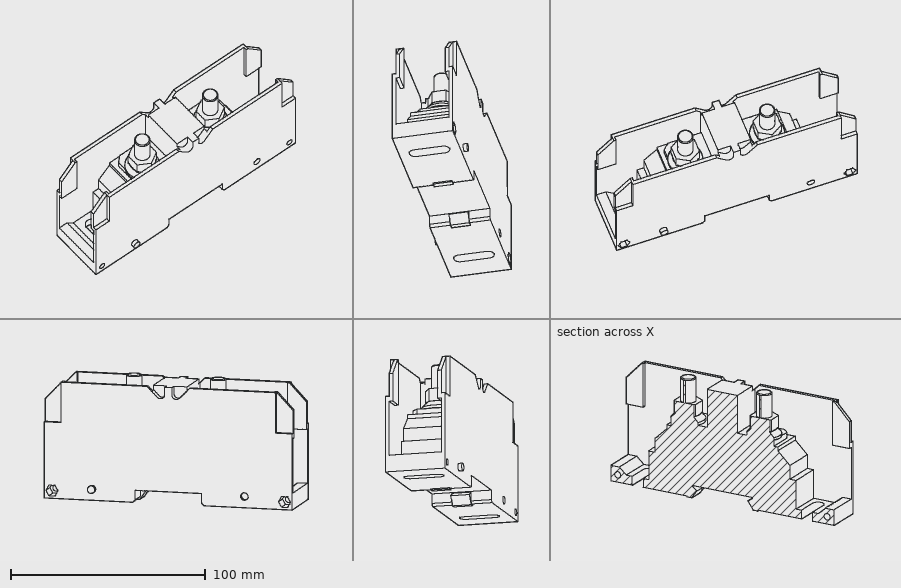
import cadquery as cq
import math

length = 132.0
width = 32.0
height = 61.0
wall = 2.0
inner_half = width / 2 - wall
end_chamfer_y = 8.8
end_chamfer_z = 9.2

lip_top = 8.7
lip_flat = 5.1
lip_slope = 4.1
floor_z = 5.0
post_y = 43.7
post_top = 20.7
step_y = 40.0
step_top = 28.2
ledge_y = 32.9
ledge_edge = 35.0
ledge_top = 37.1
bridge_half = 9.0

flap_length = end_chamfer_y
flap_overlap = 1.2
flap_thickness = 2.0
flap_recess_z = 39.9
flap_bottom = ledge_top

slot_y = 50.0
slot_length = 21.3
slot_width = 6.3

terminal_y = 22.5
plate_width = 25.1
plate_end = 30.5
plate_top = 40.3
plate_chamfer = 3.0
washer_diameter = 18.1
washer_rim_top = 41.7
washer_top_diameter = 13.5
nut_bottom = 44.5
nut_top = 51.1
nut_flats = 12.8
stud_diameter = 8.0
stud_top = 64.0
stud_chamfer = 0.5

notch_inner = 2.0
notch_bottom = 54.9
notch_radius = 2.2
notch_x = 11.7

rail_half = 17.7
rail_height = 6.3
rail_chamfer = 1.3
clip_width = 10.0
clip_top = 6.0
clip_tip_y = 14.9
clip_tip_z = 4.1
clip_foot_y = 18.2
clip_foot_end = 21.1
clip_foot_depth = 0.5
clip_heel_slope = 0.3

pin_y = 40.5
pin_z = 6.0
pin_diameter = 4.0
pin_length = 2.0
screw_y = 61.9
screw_z = 4.1
screw_diameter = 3.3
screw_nut_flats = 5.5
screw_nut_depth = 7.9


def profile_along_x(points, x_start, x_end):
    """Extrude a Y-Z outline between two X positions."""
    return cq.Workplane("YZ", origin=(x_start, 0, 0)).polyline(points).close().extrude(x_end - x_start)


def both_ends(solid):
    """Join a shape at the +Y end with its mirror image at the -Y end."""
    return solid.union(solid.mirror("XZ"))


def both_sides(solid):
    """Join a shape on the +X side with its mirror image on the -X side."""
    return solid.union(solid.mirror("YZ"))


def make_housing():
    outline = [
        (-length / 2, 0),
        (-rail_half - rail_chamfer, 0),
        (-rail_half, rail_chamfer),
        (-rail_half, rail_height),
        (rail_half, rail_height),
        (rail_half, rail_chamfer),
        (rail_half + rail_chamfer, 0),
        (length / 2, 0),
        (length / 2, height - end_chamfer_z),
        (length / 2 - end_chamfer_y, height),
        (-length / 2 + end_chamfer_y, height),
        (-length / 2, height - end_chamfer_z),
    ]
    return profile_along_x(outline, -width / 2, width / 2)


def make_end_pocket():
    lip_edge = length / 2 - lip_flat
    outline = [
        (length / 2, height),
        (length / 2, lip_top),
        (lip_edge, lip_top),
        (lip_edge - lip_slope, floor_z),
        (post_y, floor_z),
        (post_y, post_top),
        (step_y, post_top),
        (step_y, step_top),
        (ledge_y, ledge_edge),
        (ledge_y, ledge_top),
        (bridge_half, ledge_top),
        (bridge_half, height),
    ]
    return profile_along_x(outline, -inner_half, inner_half)


def make_flap_recess():
    outer_step = cq.Workplane("XY").box(wall, flap_length, height - flap_recess_z, centered=False)
    return outer_step.translate((inner_half, length / 2 - flap_length, flap_recess_z))


def make_flap():
    flap_start = length / 2 - flap_length - flap_overlap
    outline = [
        (flap_start, flap_bottom),
        (length / 2, flap_bottom),
        (length / 2, height - end_chamfer_z),
        (length / 2 - end_chamfer_y, height),
        (flap_start, height),
    ]
    return profile_along_x(outline, inner_half - flap_thickness, inner_half)


def make_mounting_slot():
    slot = cq.Workplane("XY").center(0, slot_y).slot2D(slot_length, slot_width)
    return slot.extrude(lip_top)


def make_notch():
    diagonal = notch_radius / math.sqrt(2)
    centre_y = notch_inner + notch_radius
    centre_z = notch_bottom + notch_radius
    slope_end_y = centre_y + diagonal
    slope_end_z = centre_z - diagonal
    notch = (
        cq.Workplane("YZ", origin=(notch_x, 0, 0))
        .moveTo(notch_inner, height)
        .lineTo(notch_inner, centre_z)
        .threePointArc((centre_y - diagonal, centre_z - diagonal), (slope_end_y, slope_end_z))
        .lineTo(slope_end_y + height - slope_end_z, height)
        .close()
    )
    return notch.extrude(width / 2 - notch_x)


def make_terminal():
    plate = (
        cq.Workplane("XY", origin=(0, (bridge_half + plate_end) / 2, ledge_top))
        .rect(plate_width, plate_end - bridge_half)
        .extrude(plate_top - ledge_top)
        .edges("|Z and >Y")
        .chamfer(plate_chamfer)
    )
    stud_radius = stud_diameter / 2
    washer_and_stud = (
        cq.Workplane("XZ")
        .moveTo(0, plate_top)
        .lineTo(washer_diameter / 2, plate_top)
        .lineTo(washer_diameter / 2, washer_rim_top)
        .lineTo(washer_top_diameter / 2, nut_bottom)
        .lineTo(stud_radius, nut_bottom)
        .lineTo(stud_radius, stud_top - stud_chamfer)
        .lineTo(stud_radius - stud_chamfer, stud_top)
        .lineTo(0, stud_top)
        .close()
        .revolve(360, (0, 0, 0), (0, 1, 0))
    )
    nut = (
        cq.Workplane("XY", origin=(0, 0, nut_bottom))
        .polygon(6, nut_flats / math.cos(math.pi / 6))
        .extrude(nut_top - nut_bottom)
    )
    return plate.union(washer_and_stud.union(nut).translate((0, terminal_y, 0)))


def make_clip():
    outline = [
        (rail_half, clip_top),
        (clip_tip_y, clip_tip_z),
        (clip_foot_y, -clip_foot_depth),
        (clip_foot_end - clip_heel_slope, -clip_foot_depth),
        (clip_foot_end, 0),
        (clip_foot_end, clip_top),
    ]
    return profile_along_x(outline, -clip_width / 2, clip_width / 2)


def make_pin(x_start, y):
    return cq.Workplane("YZ", origin=(x_start, y, pin_z)).circle(pin_diameter / 2).extrude(pin_length)


def make_screw_hole():
    start = cq.Workplane("YZ", origin=(-width / 2, screw_y, screw_z))
    hole = start.circle(screw_diameter / 2).extrude(width)
    nut_pocket = start.polygon(6, screw_nut_flats / math.cos(math.pi / 6)).extrude(screw_nut_depth)
    return hole.union(nut_pocket)


result = (
    make_housing()
    .cut(both_ends(make_end_pocket()))
    .cut(both_sides(both_ends(make_flap_recess())))
    .union(both_sides(both_ends(make_flap())))
    .cut(both_ends(make_mounting_slot()))
    .cut(both_sides(both_ends(make_notch())))
    .union(both_ends(make_terminal()))
    .union(both_ends(make_clip()))
    .cut(both_ends(make_screw_hole()))
)

result = result.union(make_pin(-width / 2 - pin_length, pin_y)).union(make_pin(width / 2, -pin_y))
result = result.cut(make_pin(-width / 2, -pin_y)).cut(make_pin(width / 2 - pin_length, pin_y))